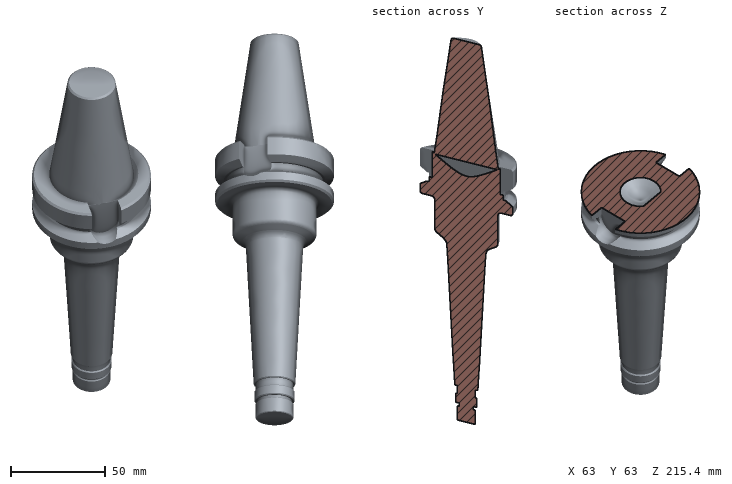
import cadquery as cq
import math


TAPER_LENGTH = 65.4
GAUGE_RADIUS = 44.45 / 2
TAPER_SLOPE = 7 / 24 / 2
TAPER_TIP_CHAMFER = 0.8
TAPER_BASE = -3.0

FLANGE_RADIUS = 63 / 2
FLANGE_TOP = -1.0
FLANGE_BOTTOM = -27.0
FLANGE_CHAMFER_RADIAL = 1.0
FLANGE_CHAMFER_AXIAL = 1.0
GROOVE_CENTRE = -16.6
GROOVE_ROOT_RADIUS = 25.7
GROOVE_MOUTH_WIDTH = 10.0
GROOVE_ROOT_WIDTH = 4.8
GROOVE_FLANK_ANGLE = 30.0

RECESS_OUTER_RADIUS = 24.8
RECESS_FLANK_ANGLE = 30.0

SLOT_WIDTH = 16.1
SLOT_BOTTOM = -23.1
SLOT_FLOOR_OFFSET = 22.5

BODY_RADIUS = 44.5 / 2
BODY_TOP_FILLET = 2.0
BODY_BOTTOM = -46.1
SHOULDER_FLANK_ANGLE = 30.0
SHOULDER_OUTER_FILLET = 2.5
SHOULDER_INNER_FILLET = 4.0

NECK_TOP_RADIUS = 15.3
NECK_HALF_ANGLE = 3.0
NECK_BOTTOM = -130.6
NECK_CHAMFER = 0.5

NOSE_RADIUS = 10.0
NOSE_BOTTOM = -150.0
NOSE_TOP = -141.7
NOSE_CHAMFER = 0.4
COLLAR_RADIUS = 10.7
COLLAR_TOP = -134.7
COLLAR_BOTTOM = -140.2
COLLAR_CHAMFER = 0.5
RELIEF_RADIUS = 9.3

RIM_TOLERANCE = 0.1


def turn(outline):
    """Turn a closed (radius, z) outline fully about the Z axis."""
    return outline.revolve(360, (0, 0, 0), (0, 1, 0))


def revolve(points):
    """Turn a straight-sided (radius, z) outline about the Z axis."""
    return turn(cq.Workplane("XZ").polyline(points).close())


def taper_radius(z):
    return GAUGE_RADIUS - z * TAPER_SLOPE


def make_taper():
    chamfer_start = TAPER_LENGTH - TAPER_TIP_CHAMFER
    return revolve([
        (0, TAPER_BASE),
        (taper_radius(TAPER_BASE), TAPER_BASE),
        (taper_radius(chamfer_start), chamfer_start),
        (taper_radius(TAPER_LENGTH) - TAPER_TIP_CHAMFER, TAPER_LENGTH),
        (0, TAPER_LENGTH),
    ])


def make_flange():
    half_mouth = GROOVE_MOUTH_WIDTH / 2
    half_root = GROOVE_ROOT_WIDTH / 2
    flank_width = (half_mouth - half_root) / math.tan(math.radians(GROOVE_FLANK_ANGLE))
    flank_radius = FLANGE_RADIUS - flank_width
    face_radius = FLANGE_RADIUS - FLANGE_CHAMFER_RADIAL
    return revolve([
        (0, FLANGE_TOP),
        (face_radius, FLANGE_TOP),
        (FLANGE_RADIUS, FLANGE_TOP - FLANGE_CHAMFER_AXIAL),
        (FLANGE_RADIUS, GROOVE_CENTRE + half_mouth),
        (flank_radius, GROOVE_CENTRE + half_root),
        (GROOVE_ROOT_RADIUS, GROOVE_CENTRE + half_root),
        (GROOVE_ROOT_RADIUS, GROOVE_CENTRE - half_root),
        (flank_radius, GROOVE_CENTRE - half_root),
        (FLANGE_RADIUS, GROOVE_CENTRE - half_mouth),
        (FLANGE_RADIUS, FLANGE_BOTTOM + FLANGE_CHAMFER_AXIAL),
        (face_radius, FLANGE_BOTTOM),
        (0, FLANGE_BOTTOM),
    ])


def make_recess():
    """Upside-down cone, cut off at the -Y lug; the taper later refills its middle."""
    depth = RECESS_OUTER_RADIUS * math.tan(math.radians(RECESS_FLANK_ANGLE))
    cone = revolve([
        (0, FLANGE_TOP),
        (RECESS_OUTER_RADIUS, FLANGE_TOP),
        (0, FLANGE_TOP - depth),
    ])
    size = 2 * FLANGE_RADIUS
    beyond_lug = (
        cq.Workplane("XY", origin=(0, -SLOT_WIDTH / 2, 0))
        .box(size, size, size, centered=(True, False, True))
    )
    return cone.intersect(beyond_lug)


def make_drive_slot(side):
    """Round-bottomed slot, open at the top and the rim; side is +1 for +X and -1 for -X."""
    slot_radius = SLOT_WIDTH / 2
    arc_centre = SLOT_BOTTOM + slot_radius
    return (
        cq.Workplane("YZ", origin=(side * SLOT_FLOOR_OFFSET, 0, 0))
        .moveTo(-slot_radius, 0)
        .lineTo(-slot_radius, arc_centre)
        .threePointArc((0, SLOT_BOTTOM), (slot_radius, arc_centre))
        .lineTo(slot_radius, 0)
        .close()
        .extrude(side * FLANGE_RADIUS)
    )


def rim_at(radius, z):
    """Selector for the circular edge of the given radius at height z."""
    return cq.selectors.BoxSelector(
        (-radius, -radius, z - RIM_TOLERANCE),
        (radius, radius, z + RIM_TOLERANCE),
    )


def make_body_and_neck():
    shoulder_height = (BODY_RADIUS - NECK_TOP_RADIUS) * math.tan(math.radians(SHOULDER_FLANK_ANGLE))
    neck_top = BODY_BOTTOM - shoulder_height
    neck_length = neck_top - NECK_BOTTOM
    neck_end_radius = NECK_TOP_RADIUS - neck_length * math.tan(math.radians(NECK_HALF_ANGLE))
    body = revolve([
        (0, FLANGE_BOTTOM),
        (BODY_RADIUS, FLANGE_BOTTOM),
        (BODY_RADIUS, BODY_BOTTOM),
        (NECK_TOP_RADIUS, neck_top),
        (neck_end_radius, NECK_BOTTOM + NECK_CHAMFER),
        (neck_end_radius - NECK_CHAMFER, NECK_BOTTOM),
        (0, NECK_BOTTOM),
    ])
    body = body.edges(rim_at(BODY_RADIUS, BODY_BOTTOM)).fillet(SHOULDER_OUTER_FILLET)
    return body.edges(rim_at(NECK_TOP_RADIUS, neck_top)).fillet(SHOULDER_INNER_FILLET)


def make_nose():
    return revolve([
        (0, NECK_BOTTOM),
        (NOSE_RADIUS, NECK_BOTTOM),
        (NOSE_RADIUS, COLLAR_TOP),
        (COLLAR_RADIUS - COLLAR_CHAMFER, COLLAR_TOP),
        (COLLAR_RADIUS, COLLAR_TOP - COLLAR_CHAMFER),
        (COLLAR_RADIUS, COLLAR_BOTTOM + COLLAR_CHAMFER),
        (COLLAR_RADIUS - COLLAR_CHAMFER, COLLAR_BOTTOM),
        (RELIEF_RADIUS, COLLAR_BOTTOM),
        (RELIEF_RADIUS, NOSE_TOP),
        (NOSE_RADIUS - NOSE_CHAMFER, NOSE_TOP),
        (NOSE_RADIUS, NOSE_TOP - NOSE_CHAMFER),
        (NOSE_RADIUS, NOSE_BOTTOM + NOSE_CHAMFER),
        (NOSE_RADIUS - NOSE_CHAMFER, NOSE_BOTTOM),
        (0, NOSE_BOTTOM),
    ])


def make_root_fillet():
    """Ring that rounds the corner between the body and the flange underside."""
    outer = BODY_RADIUS + BODY_TOP_FILLET
    end = FLANGE_BOTTOM - BODY_TOP_FILLET
    reach = BODY_TOP_FILLET * math.sqrt(0.5)
    outline = (
        cq.Workplane("XZ")
        .moveTo(0, FLANGE_BOTTOM)
        .lineTo(outer, FLANGE_BOTTOM)
        .threePointArc((outer - reach, end + reach), (BODY_RADIUS, end))
        .lineTo(0, end)
        .close()
    )
    return turn(outline)


holder = make_flange().cut(make_recess())
for turned_section in (make_taper(), make_body_and_neck(), make_root_fillet(), make_nose()):
    holder = holder.union(turned_section)
for slot_side in (1, -1):
    holder = holder.cut(make_drive_slot(slot_side))

result = holder